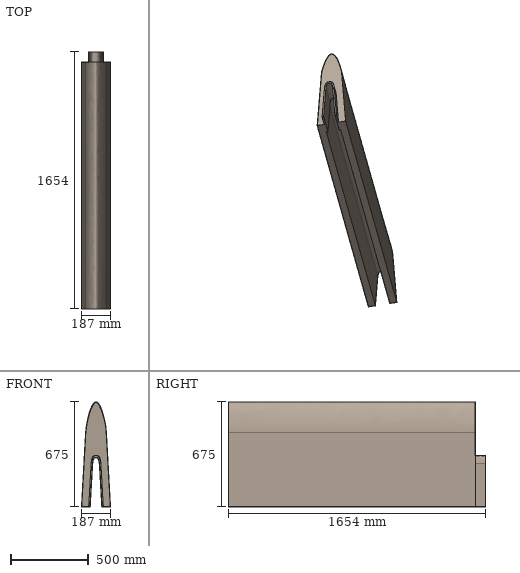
import cadquery as cq

total_length = 1654.0
base_width = 187.0
total_height = 675.0

shoulder_height = 478.0
shoulder_half_width = 67.0
nose_points = [(50.0, 579.0), (33.9, 630.0)]

tongue_length = 66.0
tongue_overlap = 66.0
tongue_base_width = 95.0
tongue_spring_height = 278.0
tongue_spring_half_width = 31.0
tongue_height = 330.0

channel_base_width = 75.0
channel_spring_half_width = 22.0
channel_height = 318.0

body_length = total_length - tongue_length
slot_length = body_length - tongue_overlap
front_y = -total_length / 2


def arched_bar(base_half, spring_half, spring_z, top_z, start_y, length, crown_points=()):
    """Extrude a symmetric profile of tapered flanks and a smooth crown along +Y."""
    left_points = [(-x, z) for x, z in crown_points]
    right_points = list(reversed(crown_points))
    crown = left_points + [(0, top_z)] + right_points + [(spring_half, spring_z)]
    flank_run = base_half - spring_half
    return (
        cq.Workplane("XZ", origin=(0, start_y, 0))
        .moveTo(-base_half, 0)
        .lineTo(-spring_half, spring_z)
        .spline(crown, tangents=[(flank_run, spring_z), (flank_run, -spring_z)], includeCurrent=True)
        .lineTo(base_half, 0)
        .close()
        .extrude(-length)
    )


def tongue_bar(start_y, length):
    return arched_bar(
        tongue_base_width / 2, tongue_spring_half_width, tongue_spring_height, tongue_height,
        start_y, length,
    )


body = arched_bar(
    base_width / 2, shoulder_half_width, shoulder_height, total_height,
    front_y, body_length, nose_points,
)
tongue = tongue_bar(front_y + slot_length, tongue_overlap + tongue_length)
slot = tongue_bar(front_y, slot_length)
channel = arched_bar(
    channel_base_width / 2, channel_spring_half_width, tongue_spring_height, channel_height,
    front_y, total_length,
)

result = body.union(tongue).cut(slot).cut(channel)